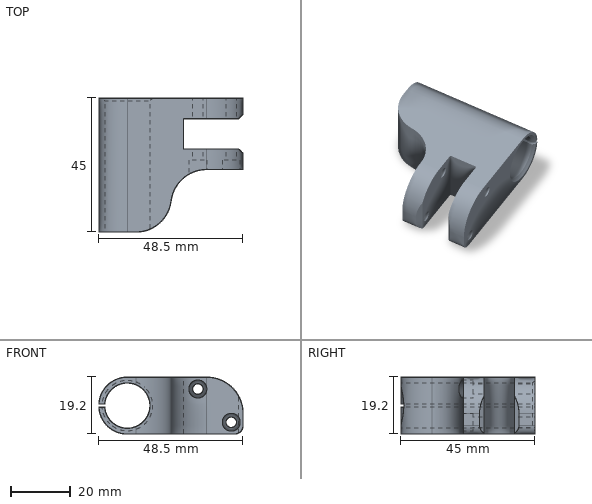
import cadquery as cq
import math

length_x = 48.5
length_y = 45.0
height = 19.2

outer_radius = height / 2
bore_radius = 7.55
split_width = 1.05
bore_chamfer = 0.9
tube_axis_x = math.sqrt(outer_radius**2 - (split_width / 2) ** 2)
tip_x = tube_axis_x - outer_radius

curve_start_x = 12.45
curve_end_x = 36.15
lug_front_y = 21.0

lug_top_radius = length_x - curve_end_x
lug_bottom_radius = 3.0
lug_thickness = 6.95
fork_floor_x = 28.5
lug_chamfer = 1.55

hole_diameter = 3.5
counterbore_diameter = 6.0
counterbore_depth = 3.2
screw_centres = [(33.25, 5.6), (44.45, -5.6)]

cut_margin = 0.5


def plan_blank():
    """Plan outline with two equal tangent arcs joining the long and short sides."""
    curve_run = curve_end_x - curve_start_x
    radius = (curve_run**2 + lug_front_y**2) / (4 * lug_front_y)
    half_angle = math.atan2(lug_front_y, curve_run)
    across = radius * math.sin(half_angle)
    rise = radius * (1 - math.cos(half_angle))
    middle = (curve_start_x + curve_run / 2, lug_front_y / 2)
    return (
        cq.Workplane("XY", origin=(0, 0, -height / 2))
        .moveTo(tip_x, 0)
        .lineTo(curve_start_x, 0)
        .threePointArc((curve_start_x + across, rise), middle)
        .threePointArc((curve_end_x - across, lug_front_y - rise), (curve_end_x, lug_front_y))
        .lineTo(length_x, lug_front_y)
        .lineTo(length_x, length_y)
        .lineTo(tip_x, length_y)
        .close()
        .extrude(height)
    )


def side_profile():
    """Side outline: half-round tube end, large upper lug corner, small lower one."""
    half = height / 2
    diagonal = math.sqrt(0.5)
    top_arc_middle = (curve_end_x + lug_top_radius * diagonal, half - lug_top_radius * (1 - diagonal))
    bottom_inset = lug_bottom_radius * (1 - diagonal)
    return (
        cq.Workplane("XZ")
        .moveTo(tube_axis_x, -half)
        .threePointArc((tip_x, 0), (tube_axis_x, half))
        .lineTo(curve_end_x, half)
        .threePointArc(top_arc_middle, (length_x, half - lug_top_radius))
        .lineTo(length_x, -half + lug_bottom_radius)
        .threePointArc(
            (length_x - bottom_inset, -half + bottom_inset),
            (length_x - lug_bottom_radius, -half),
        )
        .close()
        .extrude(-length_y)
    )


def clamp_cut():
    """Bore with a chamfered rear mouth, and the split through the tube wall."""
    bore = cq.Workplane("XZ").center(tube_axis_x, 0).circle(bore_radius).extrude(-length_y)
    mouth = cq.Workplane(
        cq.Solid.makeCone(
            bore_radius,
            bore_radius + bore_chamfer,
            bore_chamfer,
            cq.Vector(tube_axis_x, length_y - bore_chamfer, 0),
            cq.Vector(0, 1, 0),
        )
    )
    split = (
        cq.Workplane("XY", origin=(tip_x, 0, 0))
        .box(outer_radius, length_y, split_width, centered=(False, False, True))
    )
    return bore.union(mouth).union(split)


def fork_cut():
    """Gap between the lugs, flared by chamfers at its open end."""
    gap_front = lug_front_y + lug_thickness
    gap_rear = length_y - lug_thickness
    return (
        cq.Workplane("XY", origin=(0, 0, -height / 2))
        .moveTo(fork_floor_x, gap_front)
        .lineTo(length_x - lug_chamfer, gap_front)
        .lineTo(length_x, gap_front - lug_chamfer)
        .lineTo(length_x, gap_rear + lug_chamfer)
        .lineTo(length_x - lug_chamfer, gap_rear)
        .lineTo(fork_floor_x, gap_rear)
        .close()
        .extrude(height)
    )


def screw_cut():
    """Through holes along Y, counterbored from the front of the near lug."""
    holes = (
        cq.Workplane("XZ")
        .pushPoints(screw_centres)
        .circle(hole_diameter / 2)
        .extrude(-(length_y + cut_margin))
    )
    counterbores = (
        cq.Workplane("XZ")
        .pushPoints(screw_centres)
        .circle(counterbore_diameter / 2)
        .extrude(-(lug_front_y + counterbore_depth))
    )
    return holes.union(counterbores)


body = plan_blank().intersect(side_profile())
result = body.cut(clamp_cut()).cut(fork_cut()).cut(screw_cut())